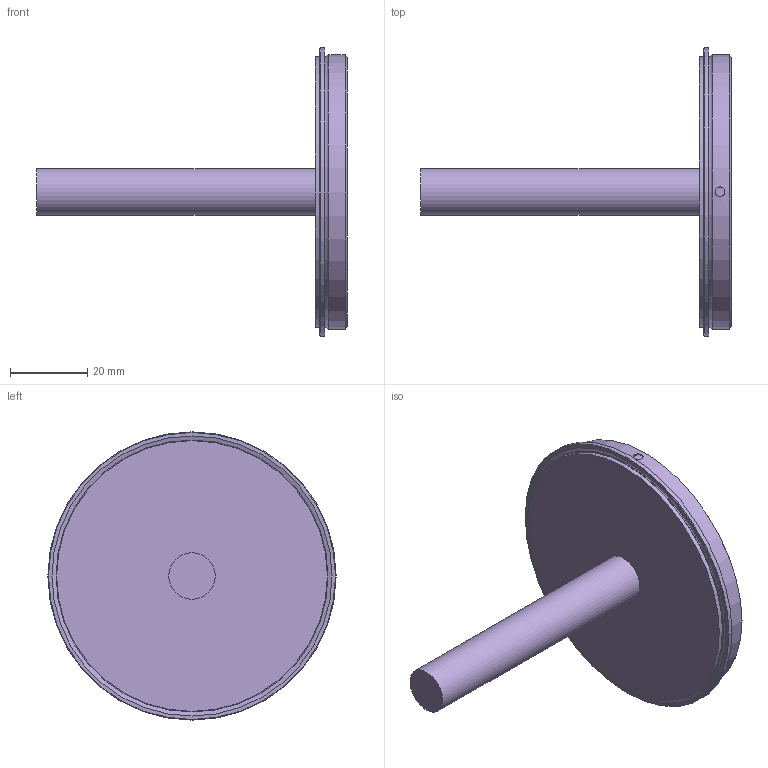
import cadquery as cq
import math

total_length = 80.37
shaft_diameter = 12.0
plate_length = 8.3

pilot_radius = 70.0 / 2
flange_radius = 74.5 / 2
body_radius = 71.0 / 2

flange_start = 1.15
flange_edge_chamfer = 0.15
flange_end = 2.4

neck_arc_radius = 1.2
body_chamfer_length = 0.5
body_chamfer_height = 0.7

recess_inner_radius = 35.15
recess_outer_radius = 36.2
recess_depth = 0.35

hole_diameter = 2.5
hole_depth = 0.3
hole_from_end_face = 2.95

shaft_tip = -total_length / 2
end_face = total_length / 2
plate_face = end_face - plate_length


def make_plate():
    """Stepped disc: pilot, thin flange, neck with a concave flare, and chamfered body."""
    neck_rise = body_radius - pilot_radius
    neck_arc_angle = math.acos(1 - neck_rise / neck_arc_radius)
    body_start = flange_end + neck_arc_radius * math.sin(neck_arc_angle)
    neck_arc_middle = (
        flange_end + neck_arc_radius * math.sin(neck_arc_angle / 2),
        pilot_radius + neck_arc_radius * (1 - math.cos(neck_arc_angle / 2)),
    )
    profile = (
        cq.Workplane("XY", origin=(plate_face, 0, 0))
        .moveTo(0, 0)
        .lineTo(0, pilot_radius)
        .lineTo(flange_start, pilot_radius)
        .lineTo(flange_start, recess_inner_radius)
        .lineTo(flange_start + recess_depth, recess_inner_radius)
        .lineTo(flange_start, recess_outer_radius)
        .lineTo(flange_start, flange_radius - flange_edge_chamfer)
        .lineTo(flange_start + flange_edge_chamfer, flange_radius)
        .lineTo(flange_end, flange_radius)
        .lineTo(flange_end, pilot_radius)
        .threePointArc(neck_arc_middle, (body_start, body_radius))
        .lineTo(plate_length - body_chamfer_length, body_radius)
        .lineTo(plate_length, body_radius - body_chamfer_height)
        .lineTo(plate_length, 0)
        .close()
    )
    return profile.revolve(360, (0, 0, 0), (1, 0, 0))


def make_shaft():
    """Plain round shaft that ends on the plate."""
    shaft_length = plate_face - shaft_tip
    return cq.Workplane("YZ", origin=(shaft_tip, 0, 0)).circle(shaft_diameter / 2).extrude(shaft_length)


def make_rim_hole():
    """Cutter for the radial hole at the top of the body rim."""
    origin = (end_face - hole_from_end_face, 0, body_radius - hole_depth)
    return cq.Workplane("XY", origin=origin).circle(hole_diameter / 2).extrude(2 * hole_depth)


result = make_plate().union(make_shaft()).cut(make_rim_hole())